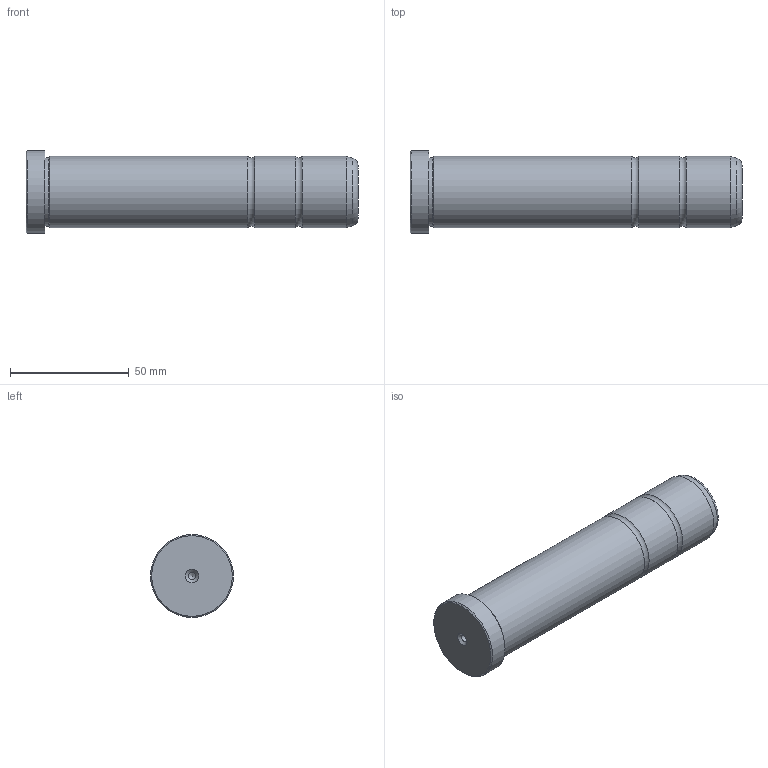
import math

import cadquery as cq

total_length = 140.0
flange_diameter = 35.0
flange_length = 8.0
flange_chamfer = 0.5
shank_diameter = 30.0

undercut_width = 2.0
undercut_depth = 0.5
undercut_runout = 0.5

groove_width = 2.8
groove_depth = 0.7
groove_centers = (95.0, 115.0)

nose_length = 5.0
nose_taper = math.radians(15)
nose_radius = 3.0

center_hole_diameter = 3.3
center_hole_mouth = 5.6
center_hole_angle = math.radians(90)
center_hole_depth = 6.0
drill_tip_angle = math.radians(118)


def make_body():
    """Revolve the stepped outline of the pin about the X axis."""
    flange_r = flange_diameter / 2
    shank_r = shank_diameter / 2
    undercut_r = shank_r - undercut_depth
    undercut_end = flange_length + undercut_width

    taper_end = total_length - nose_radius * (1 - math.sin(nose_taper))
    taper_length = taper_end - (total_length - nose_length)
    taper_end_r = shank_r - taper_length * math.tan(nose_taper)
    nose_face_r = taper_end_r - nose_radius * math.cos(nose_taper)

    outline = (
        cq.Workplane("XY")
        .moveTo(0, 0)
        .lineTo(0, flange_r - flange_chamfer)
        .lineTo(flange_chamfer, flange_r)
        .lineTo(flange_length, flange_r)
        .lineTo(flange_length, undercut_r)
        .lineTo(undercut_end - undercut_runout, undercut_r)
        .lineTo(undercut_end, shank_r)
    )
    for center in groove_centers:
        outline = outline.lineTo(center - groove_width / 2, shank_r)
        outline = outline.threePointArc(
            (center, shank_r - groove_depth),
            (center + groove_width / 2, shank_r),
        )
    outline = (
        outline.lineTo(total_length - nose_length, shank_r)
        .lineTo(taper_end, taper_end_r)
        .tangentArcPoint((total_length, nose_face_r), relative=False)
        .lineTo(total_length, 0)
        .close()
    )
    return outline.revolve(360, (0, 0, 0), (1, 0, 0))


def make_center_drill():
    """Revolve the countersunk, pointed hole outline about the X axis."""
    hole_r = center_hole_diameter / 2
    mouth_r = center_hole_mouth / 2
    mouth_depth = (mouth_r - hole_r) / math.tan(center_hole_angle / 2)
    tip_length = hole_r / math.tan(drill_tip_angle / 2)
    return (
        cq.Workplane("XY")
        .moveTo(0, 0)
        .lineTo(0, mouth_r)
        .lineTo(mouth_depth, hole_r)
        .lineTo(center_hole_depth, hole_r)
        .lineTo(center_hole_depth + tip_length, 0)
        .close()
        .revolve(360, (0, 0, 0), (1, 0, 0))
    )


result = make_body().cut(make_center_drill())